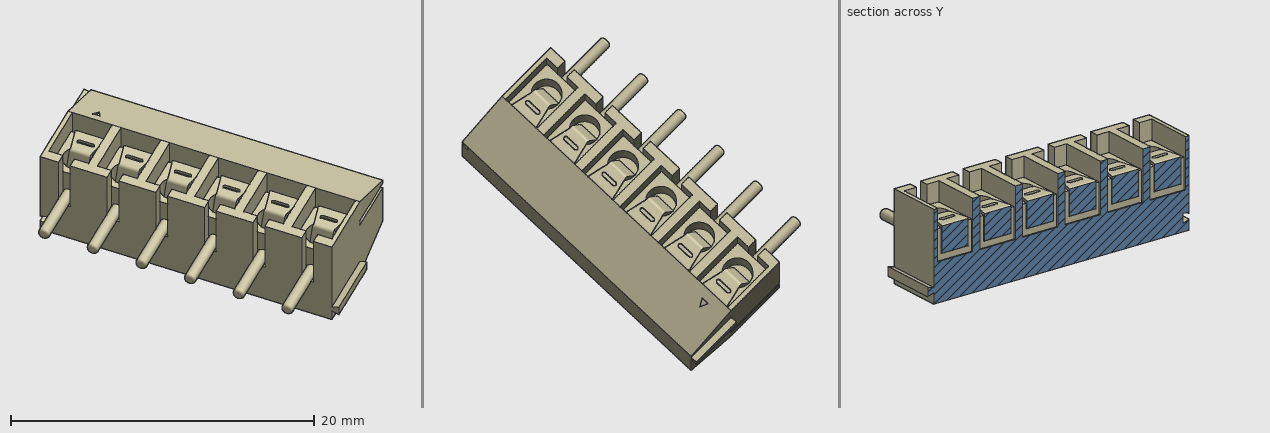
import cadquery as cq
import math

PITCH = 3.5
POLES = 6
BODY_LENGTH = PITCH * POLES
BODY_DEPTH = 8.4
BODY_HEIGHT = 6.8
BACK_FACE_HEIGHT = 3.8
TAPER_DEPTH = 3.8
TAPER_START_Y = BODY_DEPTH - TAPER_DEPTH
HALF_HEIGHT = BODY_HEIGHT / 2
TAPER_DROP = (BODY_HEIGHT - BACK_FACE_HEIGHT) / 2

DOVETAIL_DEPTH = 0.5
DOVETAIL_NECK = 0.4
DOVETAIL_WIDTH = 0.7
UPPER_DOVETAIL_Z = 1.42
LOWER_DOVETAIL_Z = -2.39

POCKET_WIDTH = 2.86
FRONT_WALL = 0.7
PIN_DIAMETER = 0.8
PIN_LENGTH = 3.5
PIN_TIP_FILLET = 0.2
SLOT_WIDTH = 0.84
POCKET_FLOOR_Z = -SLOT_WIDTH / 2

TERMINAL_WIDTH = 2.8
TERMINAL_BACK_GAP = 0.28
TERMINAL_TOP_Z = 1.9
TERMINAL_BACK_Y = TAPER_START_Y - TERMINAL_BACK_GAP
WELL_RADIUS = 1.02
WELL_Y = 2.19

TONGUE_TOP_Z = 2.1
TONGUE_BACK_GAP = 0.1
TONGUE_BACK_Y = TAPER_START_Y - TONGUE_BACK_GAP
TONGUE_BACK_WIDTH = 2.2
TONGUE_FRONT_WIDTH = 1.5
BACK_BEND_RADIUS = 0.25
FRONT_BEND_RADIUS = 0.25
FRONT_BEND_Y = 2.74
FRONT_SLOPE_ANGLE = math.radians(68)
TONGUE_TIP_Y = 1.75
TONGUE_SLOT_LENGTH = 1.22
TONGUE_SLOT_WIDTH = 0.28
TONGUE_SLOT_DEPTH = 0.2
TONGUE_SLOT_Y = 3.5

FRONT_BEND_END_Y = FRONT_BEND_Y - FRONT_BEND_RADIUS * math.sin(FRONT_SLOPE_ANGLE)
FRONT_BEND_END_Z = TONGUE_TOP_Z - FRONT_BEND_RADIUS * (1 - math.cos(FRONT_SLOPE_ANGLE))
WELL_FLOOR_Z = FRONT_BEND_END_Z - (FRONT_BEND_END_Y - TONGUE_TIP_Y) * math.tan(FRONT_SLOPE_ANGLE)

MARK_WIDTH = 0.55
MARK_BASE_Y = 5.27
MARK_APEX_Y = 5.77
MARK_DEPTH = 0.1

POLE_POSITIONS = [(i - (POLES - 1) / 2) * PITCH for i in range(POLES)]


def box(width, y_front, y_back, z_bottom, z_top):
    """Box centred on X = 0 between the given Y and Z limits."""
    return (
        cq.Workplane("XY", origin=(0, (y_front + y_back) / 2, z_bottom))
        .rect(width, y_back - y_front)
        .extrude(z_top - z_bottom)
    )


def upper_taper_z(y):
    """Height of the upper tapered face at the given Y."""
    return HALF_HEIGHT - TAPER_DROP * (y - TAPER_START_Y) / TAPER_DEPTH


def housing():
    """Plain housing, tapered above and below towards its back face."""
    outline = [
        (0, -HALF_HEIGHT),
        (TAPER_START_Y, -HALF_HEIGHT),
        (BODY_DEPTH, -BACK_FACE_HEIGHT / 2),
        (BODY_DEPTH, BACK_FACE_HEIGHT / 2),
        (TAPER_START_Y, HALF_HEIGHT),
        (0, HALF_HEIGHT),
    ]
    return cq.Workplane("YZ").polyline(outline).close().extrude(BODY_LENGTH / 2, both=True)


def dovetail(base_x, outward, z, y_front, y_back):
    """Dovetail prism widening from its neck at base_x along the outward X direction."""
    tip_x = base_x + outward * DOVETAIL_DEPTH
    outline = [
        (base_x, z - DOVETAIL_NECK / 2),
        (tip_x, z - DOVETAIL_WIDTH / 2),
        (tip_x, z + DOVETAIL_WIDTH / 2),
        (base_x, z + DOVETAIL_NECK / 2),
    ]
    return cq.Workplane("XZ", origin=(0, y_front, 0)).polyline(outline).close().extrude(y_front - y_back)


def add_dovetails(body):
    """Add a tail on each end and cut the matching grooves on the opposite end."""
    left = -BODY_LENGTH / 2
    right = BODY_LENGTH / 2
    upper = (UPPER_DOVETAIL_Z, TAPER_START_Y, BODY_DEPTH)
    lower = (LOWER_DOVETAIL_Z, 0, TAPER_START_Y)
    body = body.union(dovetail(left, -1, *upper)).union(dovetail(right, 1, *lower))
    return body.cut(dovetail(right, -1, *upper)).cut(dovetail(left, 1, *lower))


def pocket():
    """Open-topped pocket together with its slot through the front wall."""
    chamber = box(POCKET_WIDTH, FRONT_WALL, TAPER_START_Y, POCKET_FLOOR_Z, HALF_HEIGHT)
    slot = box(SLOT_WIDTH, 0, FRONT_WALL, POCKET_FLOOR_Z, HALF_HEIGHT)
    return chamber.union(slot)


def tongue():
    """Spring tongue, its side profile trimmed to its tapering plan outline."""
    back_bend_y = TONGUE_BACK_Y - BACK_BEND_RADIUS
    half_turn = FRONT_SLOPE_ANGLE / 2
    bend_mid_y = FRONT_BEND_Y - FRONT_BEND_RADIUS * math.sin(half_turn)
    bend_mid_z = TONGUE_TOP_Z - FRONT_BEND_RADIUS * (1 - math.cos(half_turn))
    profile = (
        cq.Workplane("YZ")
        .moveTo(TONGUE_BACK_Y, WELL_FLOOR_Z)
        .lineTo(TONGUE_BACK_Y, TONGUE_TOP_Z - BACK_BEND_RADIUS)
        .radiusArc((back_bend_y, TONGUE_TOP_Z), -BACK_BEND_RADIUS)
        .lineTo(FRONT_BEND_Y, TONGUE_TOP_Z)
        .threePointArc((bend_mid_y, bend_mid_z), (FRONT_BEND_END_Y, FRONT_BEND_END_Z))
        .lineTo(TONGUE_TIP_Y, WELL_FLOOR_Z)
        .close()
        .extrude(TONGUE_BACK_WIDTH / 2, both=True)
    )
    half_back = TONGUE_BACK_WIDTH / 2
    half_front = TONGUE_FRONT_WIDTH / 2
    plan_outline = [
        (half_back, TONGUE_BACK_Y),
        (half_back, back_bend_y),
        (half_front, FRONT_BEND_Y),
        (half_front, TONGUE_TIP_Y),
        (-half_front, TONGUE_TIP_Y),
        (-half_front, FRONT_BEND_Y),
        (-half_back, back_bend_y),
        (-half_back, TONGUE_BACK_Y),
    ]
    plan = (
        cq.Workplane("XY", origin=(0, 0, WELL_FLOOR_Z))
        .polyline(plan_outline)
        .close()
        .extrude(TONGUE_TOP_Z - WELL_FLOOR_Z)
    )
    return profile.intersect(plan)


def tongue_slot():
    """Shallow round-ended slot in the top of the tongue."""
    return (
        cq.Workplane("XY", origin=(0, TONGUE_SLOT_Y, TONGUE_TOP_Z))
        .slot2D(TONGUE_SLOT_LENGTH, TONGUE_SLOT_WIDTH)
        .extrude(-TONGUE_SLOT_DEPTH)
    )


def terminal():
    """Terminal block with its well and spring tongue."""
    block = box(TERMINAL_WIDTH, FRONT_WALL, TERMINAL_BACK_Y, POCKET_FLOOR_Z, TERMINAL_TOP_Z)
    well = (
        cq.Workplane("XY", origin=(0, WELL_Y, WELL_FLOOR_Z))
        .circle(WELL_RADIUS)
        .extrude(TERMINAL_TOP_Z - WELL_FLOOR_Z)
    )
    return block.cut(well).union(tongue()).cut(tongue_slot())


def pin():
    """Round solder pin from the terminal's front face to its rounded tip."""
    return (
        cq.Workplane("XZ", origin=(0, FRONT_WALL, 0))
        .circle(PIN_DIAMETER / 2)
        .extrude(FRONT_WALL + PIN_LENGTH)
        .faces("<Y")
        .edges()
        .fillet(PIN_TIP_FILLET)
    )


def pole_one_mark():
    """Triangular prism reaching MARK_DEPTH below the upper tapered face."""
    taper_angle = math.atan2(TAPER_DROP, TAPER_DEPTH)
    height = (MARK_APEX_Y - MARK_BASE_Y) / math.cos(taper_angle)
    outline = [(-MARK_WIDTH / 2, 0), (MARK_WIDTH / 2, 0), (0, height)]
    return (
        cq.Workplane("XY")
        .polyline(outline)
        .close()
        .extrude(-MARK_DEPTH)
        .rotate((0, 0, 0), (1, 0, 0), -math.degrees(taper_angle))
        .translate((POLE_POSITIONS[0], MARK_BASE_Y, upper_taper_z(MARK_BASE_Y)))
    )


body = add_dovetails(housing()).cut(pole_one_mark())
pole_pocket = pocket()
pole_contact = terminal().union(pin())
for x in POLE_POSITIONS:
    body = body.cut(pole_pocket.translate((x, 0, 0)))
    body = body.union(pole_contact.translate((x, 0, 0)))

result = body